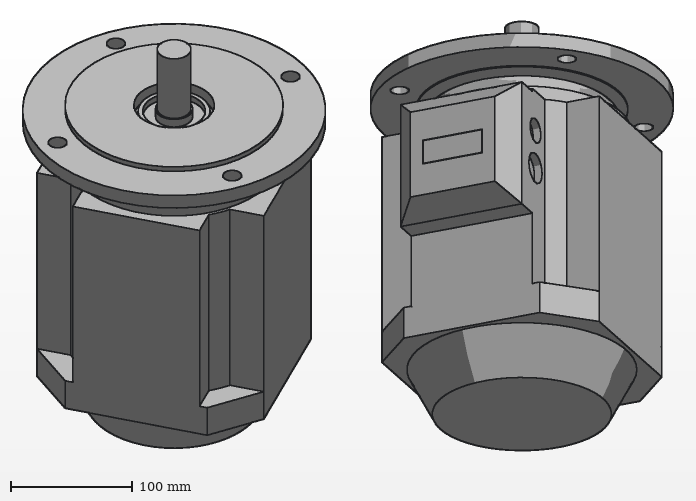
import cadquery as cq
import math

BODY_BOTTOM = 40.0
POCKET_FLOOR = 67.5
BODY_TOP = 243.5
COLLAR_TOP = 256.0
ENDBELL_TOP = 270.8
FLANGE_RELIEF_BOTTOM = 274.5
FLANGE_BOTTOM = 275.5
FLANGE_TOP = 288.2
PILOT_TOP = 292.7
SHAFT_TOP = 348.5

FAN_COVER_BOTTOM_RADIUS = 74.0
FAN_COVER_TOP_RADIUS = 94.8
ENDBELL_RADIUS = 81.0
ENDBELL_ROUND_WIDTH = 3.0
ENDBELL_ROUND_HEIGHT = 5.2
NECK_RADIUS = 53.0
FLANGE_RELIEF_RADIUS = 87.5
FLANGE_RADIUS = 250.0 / 2
PILOT_RADIUS = 90.0
COLLAR_RADIUS = PILOT_RADIUS
SHAFT_RADIUS = 14.0

RECESS_RADIUS = 33.0
RING_OUTER_RADIUS = 29.5
RING_BASE_RADIUS = 30.3
RING_INNER_RADIUS = 25.8
SHOULDER_RADIUS = 15.5
RING_TOP = PILOT_TOP - 6.0
RECESS_FLOOR = PILOT_TOP - 11.5
SHOULDER_TOP = PILOT_TOP - 4.0

BOLT_CIRCLE_RADIUS = 107.5
BOLT_HOLE_RADIUS = 7.5
BOLT_HOLE_COUNT = 4
FIRST_BOLT_ANGLE = 45

BODY_HALF = 98.5
CORNER_CUT_START = 61.7
POCKET_SIDE_X = 55.0
POCKET_SIDE_Y = CORNER_CUT_START
STATOR_RADIUS = 92.7

BOX_HALF = POCKET_SIDE_X
BOX_CENTER_Z = 186.0
BOX_ROOT_Y = 69.7
BOX_SHOULDER_Y = 119.5
BOX_TOP_Y = 136.3
LID_BEVEL = BOX_TOP_Y - BOX_SHOULDER_Y
PLATE_WIDTH = 53.5
PLATE_HEIGHT = 21.0
OVERALL_Y = 262.0
PLATE_TOP_Y = OVERALL_Y - FLANGE_RADIUS

ENTRY_CENTER_Y = 92.7
CABLE_ENTRIES = [(208.0, 10.5), (174.2, 13.0)]
ENTRY_DEPTH = 7.0


def make_turned_parts():
    """Fan cover, core, end bell, flange, pilot and shaft as one revolved profile."""
    neck_hollow = FLANGE_RELIEF_BOTTOM - ENDBELL_TOP
    mid_arc = 1 - math.sqrt(0.5)
    half_profile = (
        cq.Workplane("XZ")
        .lineTo(FAN_COVER_BOTTOM_RADIUS, 0)
        .lineTo(FAN_COVER_TOP_RADIUS, BODY_BOTTOM)
        .lineTo(COLLAR_RADIUS, BODY_BOTTOM)
        .lineTo(COLLAR_RADIUS, COLLAR_TOP)
        .lineTo(ENDBELL_RADIUS, COLLAR_TOP)
        .lineTo(ENDBELL_RADIUS, ENDBELL_TOP - ENDBELL_ROUND_HEIGHT)
        .tangentArcPoint((-ENDBELL_ROUND_WIDTH, ENDBELL_ROUND_HEIGHT))
        .lineTo(NECK_RADIUS + neck_hollow, ENDBELL_TOP)
        .threePointArc(
            (NECK_RADIUS + mid_arc * neck_hollow, ENDBELL_TOP + mid_arc * neck_hollow),
            (NECK_RADIUS, FLANGE_RELIEF_BOTTOM),
        )
        .lineTo(FLANGE_RELIEF_RADIUS, FLANGE_RELIEF_BOTTOM)
        .lineTo(FLANGE_RELIEF_RADIUS, FLANGE_BOTTOM)
        .lineTo(FLANGE_RADIUS, FLANGE_BOTTOM)
        .lineTo(FLANGE_RADIUS, FLANGE_TOP)
        .lineTo(PILOT_RADIUS, FLANGE_TOP)
        .lineTo(PILOT_RADIUS, PILOT_TOP)
        .lineTo(RECESS_RADIUS, PILOT_TOP)
        .lineTo(RECESS_RADIUS, RECESS_FLOOR)
        .lineTo(RING_BASE_RADIUS, RECESS_FLOOR)
        .lineTo(RING_OUTER_RADIUS, RING_TOP)
        .lineTo(RING_INNER_RADIUS, RING_TOP)
        .lineTo(RING_INNER_RADIUS, RECESS_FLOOR)
        .lineTo(SHOULDER_RADIUS, RECESS_FLOOR)
        .lineTo(SHOULDER_RADIUS, SHOULDER_TOP)
        .lineTo(SHAFT_RADIUS, SHOULDER_TOP)
        .lineTo(SHAFT_RADIUS, SHAFT_TOP)
        .lineTo(0, SHAFT_TOP)
        .close()
    )
    return half_profile.revolve(360, (0, 0, 0), (0, 1, 0))


def make_bolt_holes():
    return (
        cq.Workplane("XY")
        .workplane(offset=FLANGE_BOTTOM)
        .polarArray(BOLT_CIRCLE_RADIUS, FIRST_BOLT_ANGLE, 360, BOLT_HOLE_COUNT)
        .circle(BOLT_HOLE_RADIUS)
        .extrude(FLANGE_TOP - FLANGE_BOTTOM)
    )


def make_body():
    """Square body with cut corners; above the pocket floor the round stator shows in the corners."""
    side = 2 * BODY_HALF
    base = (
        cq.Workplane("XY")
        .workplane(offset=BODY_BOTTOM)
        .rect(side, side)
        .extrude(POCKET_FLOOR - BODY_BOTTOM)
        .edges("|Z")
        .chamfer(BODY_HALF - CORNER_CUT_START)
    )
    pocket_height = BODY_TOP - POCKET_FLOOR
    pocket_plane = cq.Workplane("XY").workplane(offset=POCKET_FLOOR)
    arms_along_x = pocket_plane.rect(side, 2 * POCKET_SIDE_Y).extrude(pocket_height)
    arms_along_y = pocket_plane.rect(2 * POCKET_SIDE_X, side).extrude(pocket_height)
    stator = pocket_plane.circle(STATOR_RADIUS).extrude(pocket_height)
    return base.union(arms_along_x).union(arms_along_y).union(stator)


def make_terminal_box():
    """Box with a bevelled lid and a plain name plate."""
    side = 2 * BOX_HALF
    box = cq.Workplane("XY").box(side, BOX_TOP_Y - BOX_ROOT_Y, side, centered=(True, False, True))
    box = box.faces(">Y").chamfer(LID_BEVEL).translate((0, BOX_ROOT_Y, BOX_CENTER_Z))
    plate = (
        cq.Workplane("XY")
        .box(PLATE_WIDTH, PLATE_TOP_Y - BOX_TOP_Y, PLATE_HEIGHT, centered=(True, False, True))
        .translate((0, BOX_TOP_Y, BOX_CENTER_Z))
    )
    return box.union(plate)


def make_cable_entries():
    entries = cq.Workplane("YZ").workplane(offset=-BOX_HALF)
    for center_z, radius in CABLE_ENTRIES:
        entries = entries.moveTo(ENTRY_CENTER_Y, center_z).circle(radius)
    return entries.extrude(ENTRY_DEPTH)


result = (
    make_turned_parts()
    .union(make_body())
    .union(make_terminal_box())
    .cut(make_bolt_holes())
    .cut(make_cable_entries())
)